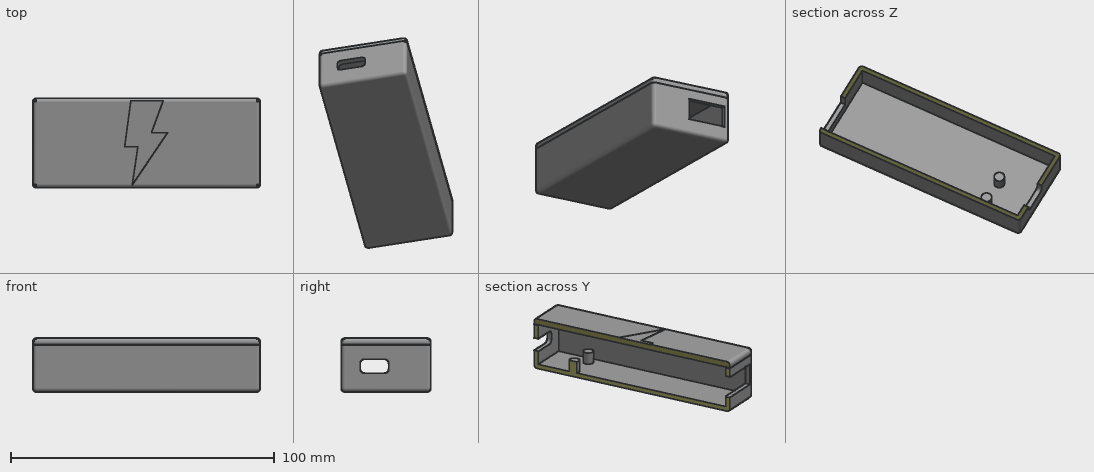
import cadquery as cq

LENGTH = 86.3
WIDTH = 34.0
HEIGHT = 20.5
EDGE_RADIUS = 1.5
WALL = 2.0
LID_THICKNESS = 2.5
LID_GAP = 0.1
LID_BOTTOM_Z = HEIGHT - LID_THICKNESS
BOX_TOP_Z = LID_BOTTOM_Z - LID_GAP

WINDOW_WIDTH = 15.9
WINDOW_HEIGHT = 8.3
WINDOW_BOTTOM_Z = 6.0
WINDOW_EDGE_Y = 0.95

PORT_WIDTH = 10.7
PORT_HEIGHT = 5.2
PORT_BOTTOM_Z = 7.25
PORT_CORNER_RADIUS = 1.55

POST_DIAMETER = 4.0
POST_TOP_Z = 6.6
POST_X = 25.9
POST_YS = (-11.3, -0.9)

LID_HOLE_DIAMETER = 0.8
LID_HOLE_INSET = 0.95

BOLT_DEPTH = 0.1
BOLT_END_Y = 16.0
BOLT_UPPER_STEP_Y = 4.0
BOLT_LOWER_STEP_Y = -1.5
BOLT_OUTLINE = [
    (-5.95, BOLT_END_Y),
    (6.3, BOLT_END_Y),
    (1.9, BOLT_UPPER_STEP_Y),
    (8.0, BOLT_UPPER_STEP_Y),
    (-5.4, -BOLT_END_Y),
    (-3.3, BOLT_LOWER_STEP_Y),
    (-8.3, BOLT_LOWER_STEP_Y),
]


def block(length, width, bottom_z, top_z):
    """Rectangular block centred on the Z axis between two heights."""
    return cq.Workplane("XY", origin=(0, 0, bottom_z)).rect(length, width).extrude(top_z - bottom_z)


def wall_cutter(wall_side, width, height, bottom_z):
    """Block that pierces one end wall; wall_side is -1 for the -X wall and 1 for the +X wall."""
    center_x = wall_side * (LENGTH - WALL) / 2
    center_y = WINDOW_EDGE_Y - width / 2
    center_z = bottom_z + height / 2
    return cq.Workplane("XY", origin=(center_x, center_y, center_z)).box(2 * WALL, width, height)


def lid_corner_holes():
    """Vertical cylinders at the four corners of the lid."""
    return (
        cq.Workplane("XY", origin=(0, 0, LID_BOTTOM_Z))
        .rect(LENGTH - 2 * LID_HOLE_INSET, WIDTH - 2 * LID_HOLE_INSET, forConstruction=True)
        .vertices()
        .circle(LID_HOLE_DIAMETER / 2)
        .extrude(LID_THICKNESS)
    )


def make_box():
    """Open-topped box with end-wall openings and floor posts."""
    box = block(LENGTH, WIDTH, 0, BOX_TOP_Z)
    box = box.edges("|Z or <Z").fillet(EDGE_RADIUS)
    box = box.cut(block(LENGTH - 2 * WALL, WIDTH - 2 * WALL, WALL, BOX_TOP_Z))

    window = wall_cutter(-1, WINDOW_WIDTH, WINDOW_HEIGHT, WINDOW_BOTTOM_Z)
    port = wall_cutter(1, PORT_WIDTH, PORT_HEIGHT, PORT_BOTTOM_Z)
    port = port.edges("|X").fillet(PORT_CORNER_RADIUS)
    box = box.cut(window).cut(port)

    for post_y in POST_YS:
        post = cq.Workplane("XY", origin=(POST_X, post_y, 0)).circle(POST_DIAMETER / 2).extrude(POST_TOP_Z)
        box = box.union(post)
    return box


def make_lid():
    """Flat lid with rounded edges, the lightning-bolt recess and corner holes."""
    lid = block(LENGTH, WIDTH, LID_BOTTOM_Z, HEIGHT)
    lid = lid.edges("|Z or >Z").fillet(EDGE_RADIUS)
    bolt = (
        cq.Workplane("XY", origin=(0, 0, HEIGHT - BOLT_DEPTH))
        .polyline(BOLT_OUTLINE)
        .close()
        .extrude(BOLT_DEPTH)
    )
    return lid.cut(bolt).cut(lid_corner_holes())


box = make_box()
lid = make_lid()

result = cq.Compound.makeCompound([box.val(), lid.val()])